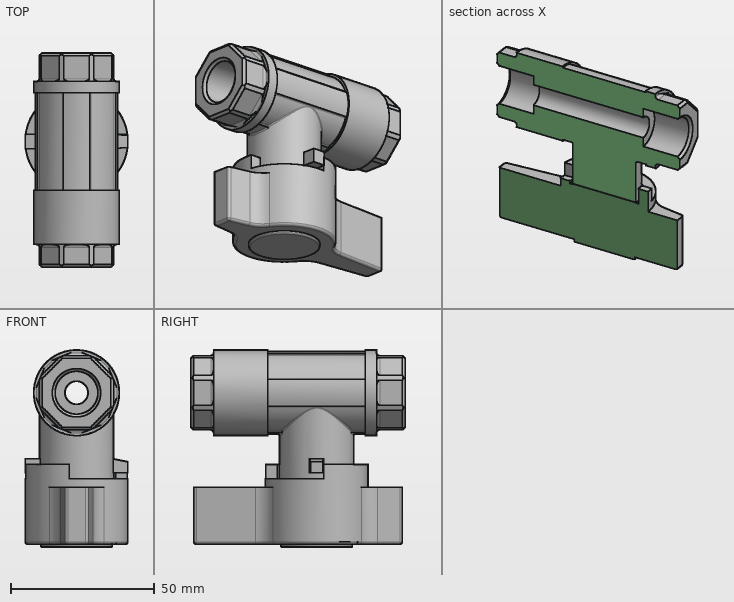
import cadquery as cq
import math

collar_dia = 30.0
barrel_dia = 28.0
barrel_half = 17.0
flange_end = 21.0
sleeve_end = -36.0

pad_dia = 29.0
pad_width = 9.4
pad_foot_fillet = 0.4

nut_flats = 26.0
nut_corners = 27.4
rear_nut_length = 10.0
front_nut_length = 8.0
nut_chamfer = 1.0
nut_root_fillet = 1.0

port_dia = 14.95
port_depth = 15.0
port_chamfer = 1.0
through_dia = 8.0

stem_dia = 26.0
stem_fillet = 0.5

tab_size = 5.0
tab_top = -23.0
tab_bottom = tab_top - tab_size
tapered_tip_width = 4.2
tapered_tip_height = 3.9

hub_dia = 36.0
hub_radius = hub_dia / 2
socket_dia = 28.0
lip_top = -25.0
ledge_top = -30.0
socket_floor = -31.0
hub_bottom = -53.0
lip_offset = 2.5

disc_dia = 25.0
disc_height = 1.0
disc_fillet = 0.5

arm_top = -33.0
front_arm_tip = -43.0
front_arm_root_width = 15.0
front_arm_tip_width = 8.0
rear_arm_tip = 30.0
rear_arm_root_width = 17.0
rear_arm_tip_width = 7.8
arm_blend = 8.0
handle_fillet = 1.0

octagon_half_step = 22.5
margin = 0.1


def y_cylinder(dia, y_start, y_end):
    """Cylinder on the pipe axis between two Y stations."""
    return cq.Workplane("XZ", origin=(0, y_start, 0)).circle(dia / 2).extrude(y_start - y_end)


def z_cylinder(dia, z_start, z_end):
    """Cylinder on the stem axis between two heights."""
    return cq.Workplane("XY", origin=(0, 0, z_start)).circle(dia / 2).extrude(z_end - z_start)


def octagon_prism(across_flats, length, first_corner):
    """Octagonal prism rising from Z = 0, with its first corner at the given angle."""
    corner_dia = across_flats / math.cos(math.radians(octagon_half_step))
    prism = cq.Workplane("XY").polygon(8, corner_dia).extrude(length)
    return prism.rotate((0, 0, 0), (0, 0, 1), first_corner)


def box_between(half_x, half_y, z_low, z_high):
    """Edge selector for a box centred on the stem axis."""
    return cq.selectors.BoxSelector((-half_x, -half_y, z_low), (half_x, half_y, z_high))


def barrel():
    """Round barrel with a raised pad along its top, bottom and both sides."""
    length = 2 * barrel_half
    side_pads = cq.Workplane("XY").box(pad_dia, length, pad_width)
    top_pads = cq.Workplane("XY").box(pad_width, length, pad_dia)
    pads = side_pads.union(top_pads).intersect(y_cylinder(pad_dia, barrel_half, -barrel_half))
    padded = y_cylinder(barrel_dia, barrel_half, -barrel_half).union(pads)
    foot = math.sqrt((barrel_dia / 2) ** 2 - (pad_width / 2) ** 2) + margin
    feet = padded.edges("|Y").edges(box_between(foot, length, -foot, foot))
    return feet.fillet(pad_foot_fillet)


def barrel_with_stem():
    """Barrel joined to the stem, with a fillet around the joint."""
    joined = barrel().union(z_cylinder(stem_dia, socket_floor, 0))
    reach = stem_dia / 2 + margin
    joint = joined.edges(box_between(reach, reach, -pad_dia / 2 - margin, 0))
    return joint.edges("not (#Y or %CIRCLE or %LINE)").fillet(stem_fillet)


def nut(length):
    """Octagonal end standing on Z = 0 with a filleted root and flattened corners."""
    prism = octagon_prism(nut_flats, length, octagon_half_step).faces(">Z").chamfer(nut_chamfer)
    base = z_cylinder(nut_flats + 8 * nut_root_fillet, -nut_root_fillet, 0)
    root = prism.union(base).edges("%LINE").edges(box_between(nut_flats, nut_flats, -margin, margin))
    return root.fillet(nut_root_fillet).intersect(octagon_prism(nut_corners, length, 0))


def port(y_face, outward):
    """Chamfered port bored in from an end face; outward is the Y sign of that face."""
    bore = y_cylinder(port_dia, y_face, y_face - outward * port_depth)
    mouth = cq.Solid.makeCone(
        port_dia / 2 + port_chamfer,
        port_dia / 2,
        port_chamfer,
        pnt=cq.Vector(0, y_face, 0),
        dir=cq.Vector(0, -outward, 0),
    )
    return bore.union(cq.Workplane(obj=mouth))


def plain_tab():
    """Square stop tab on -X, flush with the hub."""
    tab = cq.Workplane("XY").box(hub_radius, tab_size, tab_size, centered=(False, True, False))
    return tab.translate((-hub_radius, 0, tab_bottom))


def tapered_tab():
    """Stop tab on +X that narrows and drops towards its tip, with a level underside."""
    root_x = stem_dia / 2 - stem_fillet
    wedge = (
        cq.Workplane("YZ", origin=(root_x, 0, tab_bottom))
        .rect(tab_size, 2 * tab_size)
        .workplane(offset=hub_radius - root_x)
        .rect(tapered_tip_width, 2 * tapered_tip_height)
        .loft(combine=True)
    )
    return wedge.intersect(z_cylinder(2 * hub_dia, tab_bottom, tab_top))


def make_valve_body():
    rear_face = flange_end + rear_nut_length
    front_face = sleeve_end - front_nut_length
    rear_nut = nut(rear_nut_length).rotate((0, 0, 0), (1, 0, 0), -90).translate((0, flange_end, 0))
    front_nut = nut(front_nut_length).rotate((0, 0, 0), (1, 0, 0), 90).translate((0, sleeve_end, 0))
    flange = y_cylinder(collar_dia, flange_end, barrel_half)
    sleeve = y_cylinder(collar_dia, -barrel_half, sleeve_end)
    body = barrel_with_stem()
    for piece in (flange, sleeve, rear_nut, front_nut, plain_tab(), tapered_tab()):
        body = body.union(piece)
    body = body.cut(port(rear_face, 1)).cut(port(front_face, -1))
    return body.cut(y_cylinder(through_dia, rear_face, front_face))


def arm(tip_y, root_width, tip_width):
    """Lever arm that tapers from the hub axis to its tip."""
    root = root_width / 2
    tip = tip_width / 2
    return (
        cq.Workplane("XY", origin=(0, 0, hub_bottom))
        .polyline([(-root, 0), (-tip, tip_y), (tip, tip_y), (root, 0)])
        .close()
        .extrude(arm_top - hub_bottom)
    )


def lip(side):
    """Raised part of the rim; it lies beyond lip_offset towards side in Y, from X = -lip_offset."""
    corner = (
        cq.Workplane("XY", origin=(-lip_offset, side * lip_offset, ledge_top))
        .rect(side * hub_dia, side * hub_dia, centered=False)
        .extrude(lip_top - ledge_top)
    )
    return z_cylinder(hub_dia, ledge_top, lip_top).intersect(corner)


def make_handle():
    handle = z_cylinder(hub_dia, hub_bottom, ledge_top)
    handle = handle.union(arm(front_arm_tip, front_arm_root_width, front_arm_tip_width))
    handle = handle.union(arm(rear_arm_tip, rear_arm_root_width, rear_arm_tip_width))
    corners = box_between(hub_radius / 2, hub_radius - margin, hub_bottom, arm_top)
    handle = handle.edges("|Z").edges(corners).fillet(arm_blend)
    for tip in ("<Y", ">Y"):
        handle = handle.faces(tip).edges("|Z").fillet(handle_fillet)
    handle = handle.faces("<Z").edges().fillet(handle_fillet)
    for side in (1, -1):
        handle = handle.union(lip(side))
    handle = handle.cut(z_cylinder(socket_dia, socket_floor, lip_top))
    disc = z_cylinder(disc_dia, hub_bottom, hub_bottom - disc_height)
    return handle.union(disc.faces("<Z").edges().fillet(disc_fillet))


valve_body = make_valve_body()
handle = make_handle()
result = cq.Compound.makeCompound([valve_body.val(), handle.val()])